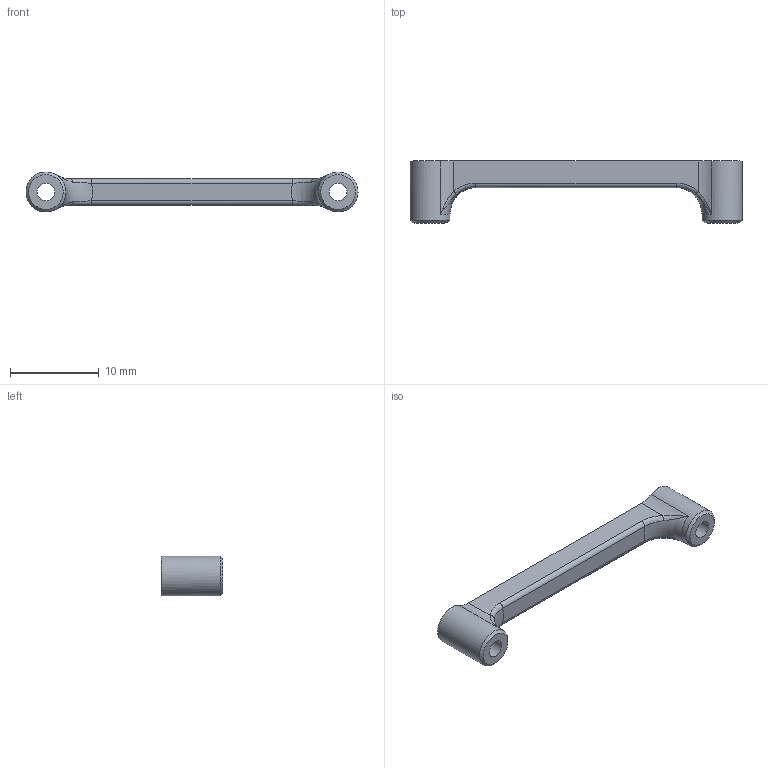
import cadquery as cq
import math

post_spacing = 33.0
post_radius = 2.25
post_length = 7.0
post_chamfer = 0.3
hole_radius = 1.0
bar_depth = 3.0
bar_height = 3.0
blend_radius = 3.0
edge_radius = 0.5

post_x = post_spacing / 2
half_height = bar_height / 2

blend_centre_z = half_height + blend_radius
blend_centre_distance = post_radius + blend_radius
blend_run = math.sqrt(blend_centre_distance**2 - blend_centre_z**2)
tangent_ratio = post_radius / blend_centre_distance
tangent_run = blend_run * tangent_ratio
tangent_z = blend_centre_z * tangent_ratio

blend_half_angle = math.atan2(blend_run, blend_centre_z) / 2
blend_middle_run = blend_run - blend_radius * math.sin(blend_half_angle)
blend_middle_z = blend_centre_z - blend_radius * math.cos(blend_half_angle)

flare_radius = post_radius + blend_radius
flare_depth = bar_depth + blend_radius


def make_web_half(depth):
    """Half of the bar at x <= 0, widened by the side blends up to the post axis, from y = 0 to y = -depth."""
    tangent_x = -post_x + tangent_run
    middle_x = -post_x + blend_middle_run
    blend_end_x = -post_x + blend_run
    return (
        cq.Workplane("XZ")
        .moveTo(-post_x, tangent_z)
        .lineTo(tangent_x, tangent_z)
        .threePointArc((middle_x, blend_middle_z), (blend_end_x, half_height))
        .lineTo(0, half_height)
        .lineTo(0, -half_height)
        .lineTo(blend_end_x, -half_height)
        .threePointArc((middle_x, -blend_middle_z), (tangent_x, -tangent_z))
        .lineTo(-post_x, -tangent_z)
        .close()
        .extrude(depth)
    )


def make_web(depth):
    """Whole bar between the post axes."""
    half = make_web_half(depth)
    return half.union(half.mirror("YZ")).clean()


def make_flare(x):
    """Round trumpet around the post axis at x, bounded by the front blend."""
    arc_offset = blend_radius * math.sqrt(0.5)
    return (
        cq.Workplane("XY", origin=(x, 0, 0))
        .lineTo(flare_radius, 0)
        .lineTo(flare_radius, -bar_depth)
        .threePointArc((flare_radius - arc_offset, -flare_depth + arc_offset), (post_radius, -flare_depth))
        .lineTo(0, -flare_depth)
        .close()
        .revolve(360, (0, 0, 0), (0, 1, 0))
    )


def make_post(x):
    """Post at x, chamfered at its front end."""
    post = cq.Workplane("XZ", origin=(x, 0, 0)).circle(post_radius).extrude(post_length)
    return post.faces("<Y").chamfer(post_chamfer)


def make_hole(x):
    """Through hole along the post at x."""
    return cq.Workplane("XZ", origin=(x, 0, 0)).circle(hole_radius).extrude(post_length)


def round_front_edges(body):
    """Round the two long front edges; the rounding runs on along the blends and fades out at the posts."""
    front_edges = body.edges("|X").edges("<Y")
    return front_edges.fillet(edge_radius)


post_positions = (-post_x, post_x)

body = make_web(bar_depth)
for x in post_positions:
    body = body.union(make_web(flare_depth).intersect(make_flare(x)))
    body = body.union(make_post(x))

body = round_front_edges(body)

for x in post_positions:
    body = body.cut(make_hole(x))

result = body